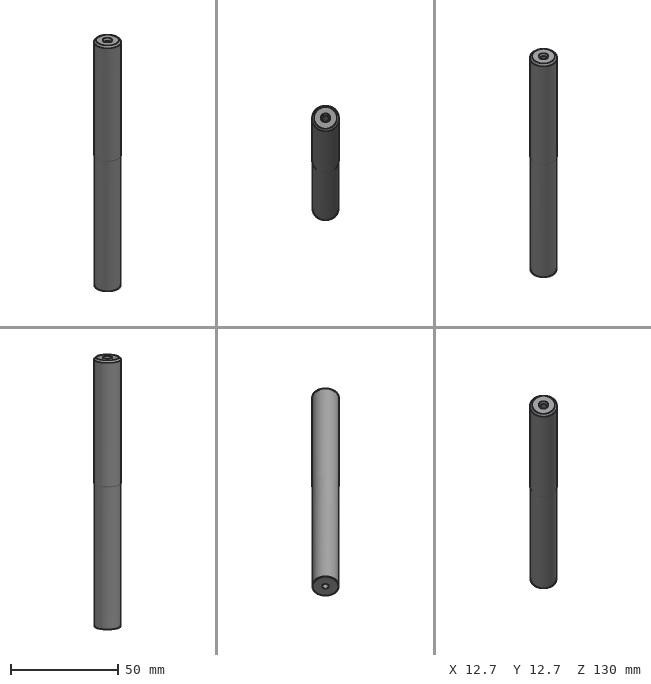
import cadquery as cq

total_length = 130.0
head_diameter = 12.7
shank_diameter = 12.4
head_length = 60.6
shoulder_length = 0.6
top_chamfer = 1.0
bottom_chamfer = 0.2
bore_diameter = 3.0
countersink_diameter = 4.4
countersink_depth = 1.2

head_radius = head_diameter / 2
shank_radius = shank_diameter / 2
shoulder_top = total_length - head_length
shoulder_bottom = shoulder_top - shoulder_length


def make_body():
    """Stepped, chamfered pin revolved about the Z axis."""
    half_profile = (
        cq.Workplane("XZ")
        .moveTo(0, 0)
        .lineTo(shank_radius - bottom_chamfer, 0)
        .lineTo(shank_radius, bottom_chamfer)
        .lineTo(shank_radius, shoulder_bottom)
        .lineTo(head_radius, shoulder_top)
        .lineTo(head_radius, total_length - top_chamfer)
        .lineTo(head_radius - top_chamfer, total_length)
        .lineTo(0, total_length)
        .close()
    )
    return half_profile.revolve(360, (0, 0, 0), (0, 1, 0))


def make_bore():
    """Through bore with a conical countersink at the top end."""
    bore_radius = bore_diameter / 2
    half_profile = (
        cq.Workplane("XZ")
        .moveTo(0, 0)
        .lineTo(bore_radius, 0)
        .lineTo(bore_radius, total_length - countersink_depth)
        .lineTo(countersink_diameter / 2, total_length)
        .lineTo(0, total_length)
        .close()
    )
    return half_profile.revolve(360, (0, 0, 0), (0, 1, 0))


result = make_body().cut(make_bore())